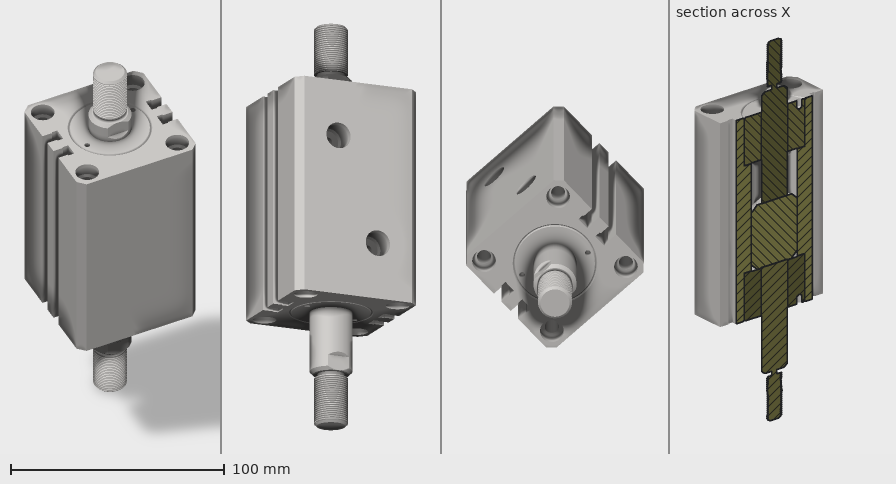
import cadquery as cq
import math

TOTAL_LENGTH = 194.0
LOWER_STICKOUT = 55.0
UPPER_STICKOUT = 35.0
HOUSING_BOTTOM = LOWER_STICKOUT
HOUSING_TOP = TOTAL_LENGTH - UPPER_STICKOUT
HOUSING_LENGTH = HOUSING_TOP - HOUSING_BOTTOM
HOUSING_MIDDLE = (HOUSING_TOP + HOUSING_BOTTOM) / 2

HOUSING_WIDTH = 62.0
CORNER_CHAMFER = 3.5
BORE_RADIUS = 15.1

SLOT_OFFSET = 5.8
SLOT_NECK_WIDTH = 5.2
SLOT_NECK_DEPTH = 5.0
SLOT_FLOOR_WIDTH = 6.4
SLOT_DEPTH = 8.0

MOUNT_OFFSET = 23.5
MOUNT_HOLE_DIAMETER = 6.5
COUNTERBORE_DIAMETER = 11.0
COUNTERBORE_DEPTH = 6.0

PORT_END_DISTANCE = 27.0
PORT_OFFSET = 10.0
PORT_DIAMETER = 12.5
PORT_DEPTH = 12.0
PORT_FLOOR_BEVEL = 1.0
PORT_PASSAGE_DIAMETER = 4.3

COVER_RADIUS = 19.2
COVER_LENGTH = 24.5
RIM_CHAMFER = 0.5
SPANNER_HOLE_RADIUS = 16.3
SPANNER_HOLE_ANGLE = 113.0
SPANNER_HOLE_DIAMETER = 2.7
SPANNER_HOLE_DEPTH = 3.9
DRILL_TIP_ANGLE = 118.0

PISTON_BOTTOM = HOUSING_BOTTOM + COVER_LENGTH
PISTON_LENGTH = 33.0
PISTON_CHAMFER = 3.0
PISTON_TOP = PISTON_BOTTOM + PISTON_LENGTH

ROD_RADIUS = 10.0
SHOULDER_DISTANCE = 25.0
SHOULDER_CHAMFER = 1.5
FLAT_DISTANCE = 8.5
FLAT_LENGTH = 7.0
NECK_RADIUS = 6.5
THREAD_RADIUS = 8.0
THREAD_LENGTH = 23.0
THREAD_PITCH = 1.0
THREAD_TURNS = 21.5
THREAD_DEPTH = 0.5
GROOVE_HALF_WIDTH = 0.47
GROOVE_OVERCUT = 0.2
TIP_CHAMFER = 1.2


def cylinder(radius, bottom, top):
    return cq.Workplane("XY").workplane(offset=bottom).circle(radius).extrude(top - bottom)


def slot_cutter():
    """T-slot opening through the +Y side, running the full length of the housing."""
    side = HOUSING_WIDTH / 2
    neck = SLOT_NECK_WIDTH / 2
    floor = SLOT_FLOOR_WIDTH / 2
    return (
        cq.Workplane("XY")
        .workplane(offset=HOUSING_BOTTOM)
        .moveTo(-neck, side)
        .lineTo(-neck, side - SLOT_NECK_DEPTH)
        .lineTo(-floor, side - SLOT_NECK_DEPTH)
        .lineTo(-floor, side - SLOT_DEPTH)
        .lineTo(floor, side - SLOT_DEPTH)
        .lineTo(floor, side - SLOT_NECK_DEPTH)
        .lineTo(neck, side - SLOT_NECK_DEPTH)
        .lineTo(neck, side)
        .close()
        .extrude(HOUSING_LENGTH)
    )


def port_cutter(y, z):
    """Air port in the -X side, bevelled at its floor, with a narrow passage into the bore."""
    face = cq.Workplane("YZ").workplane(offset=-HOUSING_WIDTH / 2).center(y, z)
    port = face.circle(PORT_DIAMETER / 2).extrude(PORT_DEPTH)
    port = port.faces(">X").chamfer(PORT_FLOOR_BEVEL)
    passage = face.circle(PORT_PASSAGE_DIAMETER / 2).extrude(HOUSING_WIDTH / 2)
    return port.union(passage)


def make_housing():
    housing = (
        cq.Workplane("XY")
        .workplane(offset=HOUSING_BOTTOM)
        .rect(HOUSING_WIDTH, HOUSING_WIDTH)
        .extrude(HOUSING_LENGTH)
        .edges("|Z")
        .chamfer(CORNER_CHAMFER)
    )

    housing = housing.cut(cylinder(BORE_RADIUS, HOUSING_BOTTOM, HOUSING_TOP))
    housing = housing.cut(cylinder(COVER_RADIUS, HOUSING_BOTTOM, HOUSING_BOTTOM + COVER_LENGTH))
    housing = housing.cut(cylinder(COVER_RADIUS, HOUSING_TOP - COVER_LENGTH, HOUSING_TOP))
    housing = housing.faces("<Z or >Z").edges("%CIRCLE").chamfer(RIM_CHAMFER)

    for x in (-SLOT_OFFSET, SLOT_OFFSET):
        slot = slot_cutter().translate((x, 0, 0))
        housing = housing.cut(slot).cut(slot.mirror("XZ"))

    for end_face, end_z in ((">Z", HOUSING_TOP), ("<Z", HOUSING_BOTTOM)):
        housing = (
            housing.faces(end_face)
            .workplane(origin=(0, 0, end_z))
            .rect(2 * MOUNT_OFFSET, 2 * MOUNT_OFFSET, forConstruction=True)
            .vertices()
            .cboreHole(MOUNT_HOLE_DIAMETER, COUNTERBORE_DIAMETER, COUNTERBORE_DEPTH)
        )

    housing = housing.cut(port_cutter(PORT_OFFSET, HOUSING_TOP - PORT_END_DISTANCE))
    return housing.cut(port_cutter(-PORT_OFFSET, HOUSING_BOTTOM + PORT_END_DISTANCE))


def spanner_hole(angle):
    """Blind drilled hole with a conical bottom, sunk from the top of the housing."""
    radius = SPANNER_HOLE_DIAMETER / 2
    tip_depth = radius / math.tan(math.radians(DRILL_TIP_ANGLE / 2))
    return (
        cq.Workplane("XZ")
        .moveTo(0, 0)
        .lineTo(radius, 0)
        .lineTo(radius, -SPANNER_HOLE_DEPTH)
        .lineTo(0, -SPANNER_HOLE_DEPTH - tip_depth)
        .close()
        .revolve(360, (0, 0, 0), (0, 1, 0))
        .translate((SPANNER_HOLE_RADIUS, 0, HOUSING_TOP))
        .rotate((0, 0, 0), (0, 0, 1), angle)
    )


def make_upper_cover():
    cover = (
        cylinder(COVER_RADIUS, HOUSING_TOP - COVER_LENGTH, HOUSING_TOP)
        .faces(">Z")
        .edges()
        .chamfer(RIM_CHAMFER)
    )
    cover = cover.cut(cylinder(ROD_RADIUS, HOUSING_TOP - COVER_LENGTH, HOUSING_TOP))
    for angle in (SPANNER_HOLE_ANGLE, SPANNER_HOLE_ANGLE + 180):
        cover = cover.cut(spanner_hole(angle))
    return cover


def make_piston():
    return (
        cylinder(BORE_RADIUS, PISTON_BOTTOM, PISTON_TOP)
        .faces("<Z or >Z")
        .edges()
        .chamfer(PISTON_CHAMFER)
    )


def thread_groove():
    """Helical V-groove around a rod whose tip is at z = 0, from the tip chamfer to the neck."""
    start = THREAD_PITCH
    outer = THREAD_RADIUS + GROOVE_OVERCUT
    helix = cq.Wire.makeHelix(
        THREAD_PITCH, THREAD_TURNS * THREAD_PITCH, THREAD_RADIUS, center=cq.Vector(0, 0, start)
    )
    groove = (
        cq.Workplane("XZ")
        .moveTo(THREAD_RADIUS - THREAD_DEPTH, start)
        .lineTo(outer, start + GROOVE_HALF_WIDTH)
        .lineTo(outer, start - GROOVE_HALF_WIDTH)
        .close()
        .sweep(cq.Workplane(helix), isFrenet=True)
    )
    return groove.rotate((0, 0, 0), (0, 0, 1), 90)


def flat_cutter():
    """Wrench flat on the +X side: a flat that runs out at 45 degrees into the rod."""
    flat_end = SHOULDER_DISTANCE + FLAT_LENGTH
    clearance = 2 * (ROD_RADIUS - FLAT_DISTANCE)
    return (
        cq.Workplane("XZ")
        .moveTo(FLAT_DISTANCE, THREAD_LENGTH)
        .lineTo(FLAT_DISTANCE, flat_end)
        .lineTo(FLAT_DISTANCE + clearance, flat_end + clearance)
        .lineTo(FLAT_DISTANCE + clearance, THREAD_LENGTH)
        .close()
        .extrude(ROD_RADIUS, both=True)
    )


def make_rod(length):
    """Rod standing on its threaded tip at z = 0."""
    rod = (
        cq.Workplane("XZ")
        .moveTo(0, 0)
        .lineTo(THREAD_RADIUS - TIP_CHAMFER, 0)
        .lineTo(THREAD_RADIUS, TIP_CHAMFER)
        .lineTo(THREAD_RADIUS, THREAD_LENGTH)
        .lineTo(NECK_RADIUS, THREAD_LENGTH)
        .lineTo(NECK_RADIUS, SHOULDER_DISTANCE)
        .lineTo(ROD_RADIUS - SHOULDER_CHAMFER, SHOULDER_DISTANCE)
        .lineTo(ROD_RADIUS, SHOULDER_DISTANCE + SHOULDER_CHAMFER)
        .lineTo(ROD_RADIUS, length)
        .lineTo(0, length)
        .close()
        .revolve(360, (0, 0, 0), (0, 1, 0))
    )
    flat = flat_cutter()
    rod = rod.cut(flat).cut(flat.mirror("YZ"))
    return rod.cut(thread_groove())


housing = make_housing()
upper_cover = make_upper_cover()
lower_cover = upper_cover.mirror("XY", (0, 0, HOUSING_MIDDLE))
piston = make_piston()

rods = []
for rod_length, tip_z, turn in ((PISTON_BOTTOM, 0, 0), (TOTAL_LENGTH - PISTON_TOP, TOTAL_LENGTH, 180)):
    rod = make_rod(rod_length).rotate((0, 0, 0), (1, 0, 0), turn).translate((0, 0, tip_z))
    rods.append(rod.val())

result = cq.Compound.makeCompound(
    [housing.val(), upper_cover.val(), lower_cover.val(), piston.val(), *rods]
)